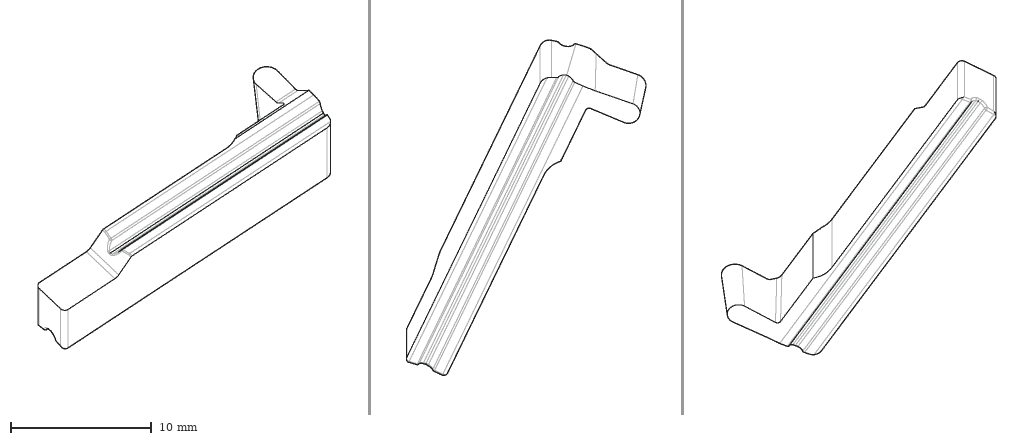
import cadquery as cq
import math

LENGTH = 25.55
HEIGHT = 5.8
BACK = LENGTH / 2
FRONT = -LENGTH / 2
BAR_HALF_WIDTH = 1.58

STEP_HEIGHT = 4.47
STEP_TOP_FROM_FRONT = 6.23
STEP_FILLET = 0.5
FRONT_CORNER_RADIUS = 0.38

SWEEP_START_X = -0.7
SWEEP_ANGLE = 15.0
BACK_CORNER_RADIUS = 0.77

PAD_X = -2.25
PAD_END_FROM_BACK = 6.41
PAD_BLEND_RADIUS = 2.05

TIP_X = -6.41
ARM_TOP = STEP_HEIGHT
TIP_RADIUS = 0.97
TIP_RADIUS_AT_BASE = 0.82
TIP_RELIEF = 0.45
NECK_INSET = 0.1
BEVEL_TOP_X = -1.85
BEVEL_FILLET = 0.38
ARM_CORNER_FILLET = 0.25

VEE_HALF_WIDTH = 1.3
LIP_X = 0.66
LIP_DEPTH = 0.1
FLANK_X = 0.54
FLANK_DEPTH = 0.217
FLOOR_X = 0.192
FLOOR_EDGE_DEPTH = 0.65
CHANNEL_DEPTH = 0.66
GROOVE_END_FILLET = 0.15
RIM_HALF_WIDTH = 1.53

SHOULDER_ANGLE = math.radians(45)

ARM_Y = BACK - TIP_RADIUS
MARGIN = 1.28


def tip_radius(z):
    """Tip radius at height z; it grows steadily from the base upwards."""
    return TIP_RADIUS_AT_BASE + (TIP_RADIUS - TIP_RADIUS_AT_BASE) * z / ARM_TOP


def back_face_y(z):
    """Y of the relieved back face, flush with the arm's neck."""
    return ARM_Y + tip_radius(z) - NECK_INSET


def bar_with_pad():
    """Plan outline of the bar and pad at full height, with sharp corners."""
    back = back_face_y(HEIGHT)
    sweep_drop = (BAR_HALF_WIDTH - SWEEP_START_X) * math.tan(math.radians(SWEEP_ANGLE))
    pad_end = BACK - PAD_END_FROM_BACK
    pad_step = -BAR_HALF_WIDTH - PAD_X
    blend_angle = math.acos(1 - pad_step / PAD_BLEND_RADIUS)
    blend_end = pad_end - PAD_BLEND_RADIUS * math.sin(blend_angle)
    blend_mid = (
        -BAR_HALF_WIDTH - PAD_BLEND_RADIUS * (1 - math.cos(blend_angle / 2)),
        blend_end + PAD_BLEND_RADIUS * math.sin(blend_angle / 2),
    )
    return (
        cq.Workplane("XY")
        .moveTo(PAD_X, back)
        .lineTo(SWEEP_START_X, back)
        .lineTo(BAR_HALF_WIDTH, back - sweep_drop)
        .lineTo(BAR_HALF_WIDTH, FRONT)
        .lineTo(-BAR_HALF_WIDTH, FRONT)
        .lineTo(-BAR_HALF_WIDTH, blend_end)
        .threePointArc(blend_mid, (PAD_X, pad_end))
        .close()
        .extrude(HEIGHT)
    )


def back_relief():
    """Wedge behind the sloping back face."""
    return (
        cq.Workplane("YZ")
        .polyline([
            (back_face_y(0), 0),
            (back_face_y(HEIGHT), HEIGHT),
            (BACK + MARGIN, HEIGHT),
            (BACK + MARGIN, 0),
        ])
        .close()
        .extrude(BAR_HALF_WIDTH - PAD_X, both=True)
    )


def arm_section(z):
    """Plan outline of the arm at height z."""
    radius = tip_radius(z)
    tip_x = TIP_X + TIP_RELIEF * (1 - z / ARM_TOP)
    neck = radius - NECK_INSET
    return (
        cq.Workplane("XY", origin=(0, ARM_Y, z))
        .moveTo(-BAR_HALF_WIDTH, neck)
        .lineTo(PAD_X, neck)
        .lineTo(tip_x + radius, radius)
        .threePointArc((tip_x, 0), (tip_x + radius, -radius))
        .lineTo(PAD_X, -neck)
        .lineTo(-BAR_HALF_WIDTH, -neck)
        .close()
        .val()
    )


def arm():
    """Arm at full height, before its top is lowered."""
    return cq.Workplane(cq.Solid.makeLoft([arm_section(0), arm_section(HEIGHT)], True))


def shoulder_cut(plane, edge, outer, low, radius, reach):
    """Space above a ledge that slopes up to the top face at `edge`, filleted at its foot."""
    side = math.copysign(1, outer - edge)
    foot = edge + side * (HEIGHT - low) / math.tan(SHOULDER_ANGLE)
    tangent = radius * math.tan(SHOULDER_ANGLE / 2)
    fillet_top = (
        foot - side * tangent * math.cos(SHOULDER_ANGLE),
        low + tangent * math.sin(SHOULDER_ANGLE),
    )
    return (
        cq.Workplane(plane)
        .moveTo(edge - side * MARGIN / math.tan(SHOULDER_ANGLE), HEIGHT + MARGIN)
        .lineTo(*fillet_top)
        .tangentArcPoint((foot + side * tangent, low), relative=False)
        .lineTo(outer, low)
        .lineTo(outer, HEIGHT + MARGIN)
        .close()
        .extrude(reach, both=True)
    )


def groove():
    """Groove cutter along Y in the top face."""
    half = (
        cq.Workplane("XZ", origin=(0, 0, HEIGHT))
        .moveTo(0, 0)
        .lineTo(-VEE_HALF_WIDTH, 0)
        .lineTo(-LIP_X, -LIP_DEPTH)
        .tangentArcPoint((-FLANK_X, -FLANK_DEPTH), relative=False)
        .tangentArcPoint((-FLOOR_X, -FLOOR_EDGE_DEPTH), relative=False)
        .tangentArcPoint((0, -CHANNEL_DEPTH), relative=False)
        .close()
        .extrude(LENGTH, both=True)
    )
    return half.union(half.mirror("YZ"))


def round_front_rim(body, face_normal, low, high):
    """Round the edges between two heights of the face looking along face_normal."""
    face = body.faces(cq.selectors.ParallelDirSelector(face_normal)).faces("<Y")
    between = cq.selectors.BoxSelector((-RIM_HALF_WIDTH, FRONT - MARGIN, low), (RIM_HALF_WIDTH, BACK, high))
    return face.edges(between).fillet(GROOVE_END_FILLET)


plan_prism = bar_with_pad()
bar = plan_prism.cut(back_relief())
bar = bar.cut(
    shoulder_cut("YZ", FRONT + STEP_TOP_FROM_FRONT, FRONT - MARGIN, STEP_HEIGHT, STEP_FILLET, LENGTH)
)

top_groove = groove()
base_groove = top_groove.mirror("XY", (0, 0, HEIGHT / 2))
bar = bar.cut(top_groove).cut(base_groove)
bar = round_front_rim(bar, cq.Vector(0, -1, 1), STEP_HEIGHT + STEP_FILLET, HEIGHT + MARGIN)
bar = round_front_rim(bar, cq.Vector(0, -1, 0), -MARGIN, CHANNEL_DEPTH + MARGIN)

rounded_prism = plan_prism.edges("|Z").edges("<Y").fillet(FRONT_CORNER_RADIUS)
rounded_prism = rounded_prism.edges("|Z").edges(">X").edges(">Y").fillet(BACK_CORNER_RADIUS)
bar = bar.intersect(rounded_prism)

result = bar.union(arm())
inner_corner = (PAD_X, ARM_Y - tip_radius(HEIGHT / 2) + NECK_INSET, HEIGHT / 2)
result = result.edges(cq.selectors.NearestToPointSelector(inner_corner)).fillet(ARM_CORNER_FILLET)
result = result.cut(
    shoulder_cut("XZ", BEVEL_TOP_X, TIP_X - MARGIN, ARM_TOP, BEVEL_FILLET, LENGTH)
)